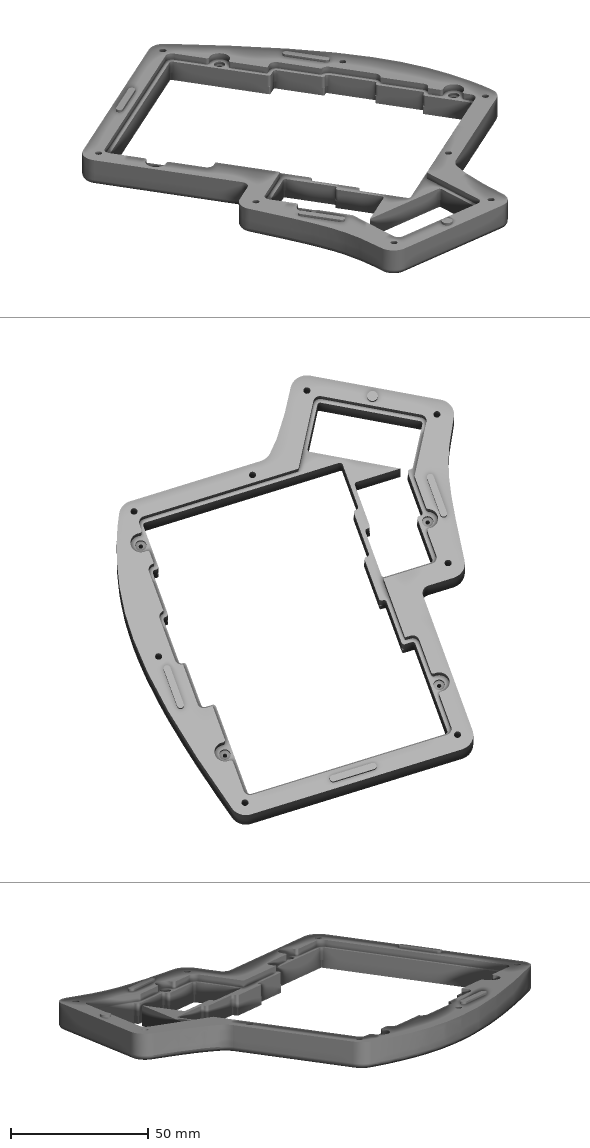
import cadquery as cq
import math

body_height = 10.2
stud_height = 1.0
ledge_drop = 2.5
ledge_z = body_height - ledge_drop
bottom_round = 1.9

corner_radius = 6.0
inner_bend_radius = 3.0
right_side_x = 132.2
thumb_side_x = 65.7
tilt = math.radians(30)
thumb_upper_corner = (153.4, 14.2)
thumb_lower_corner = (129.2, -27.9)
thumb_left_corner = (71.8, -12.8)
top_left_corner = (corner_radius, 87.2)
top_right_corner = (right_side_x - corner_radius, 89.3)
waist_center = (right_side_x + corner_radius, 39.2)
top_left_normal = math.radians(105)
top_right_normal = math.radians(62)
waist_normal = math.radians(225)
thumb_left_normal = math.radians(262)
thumb_upper_normal = math.pi / 2 - tilt
thumb_lower_normal = 3 * math.pi / 2 - tilt

ledge_width = 1.5
opening_radius = 1.0
lower_opening_radius = 0.5
lower_opening_height = 3.0
main_left_x = 8.8
main_right_x = 123.4
box_left_x = 75.1
box_right_x = 114.2
box_step_x = 94
box_floor_y = -8.1
box_low_floor_y = -10.7
notch_x = 112.7
main_floor_y = 8.5
web_left_x = 47.4
web_top_y = 13.0

thumb_far = 84.3
thumb_near = 45.3
thumb_start = 103.2
thumb_end = 123.1

seat_radius = 3.8
seat_blend_radius = 1.0
seat_bore_diameter = 4.1
seat_bore_depth = 1.0
screw_diameter = 1.6
screw_depth = 4.8
seats = [
    ((26.6, 88.3), -90), ((115.3, 90.9), -90), ((28.0, 5.5), 90), ((91.0, -11.3), 90),
]

pin_hole_diameter = 2.5
pin_hole_depth = 6.4
drill_half_angle = math.radians(59)
pin_hole_centers = [
    (5.1, 87.9), (70.3, 99.2), (127.9, 89.3), (127.9, 43.7),
    (153.4, 14.2), (129.3, -27.7), (71.9, -12.8), (6.0, 5.7),
]

bar_length = 17.9
bar_width = 2.5
bars = [((56.8, 97.9), 0), ((3.7, 46.7), 90), ((98.4, -17.4), 0)]
stud_diameter = 4.0
stud_center = (143.3, -7.7)


def around(center, angle, radius=corner_radius):
    """Point on a circle."""
    return (center[0] + radius * math.cos(angle), center[1] + radius * math.sin(angle))


def along(angle):
    """Unit direction."""
    return (math.cos(angle), math.sin(angle))


def thumb_point(far, across):
    """Point given in the turned axes of the thumb section."""
    return (
        far * math.sin(tilt) + across * math.cos(tilt),
        far * math.cos(tilt) - across * math.sin(tilt),
    )


def on_thumb_line(far, x):
    """Point at x on the turned line that lies at the given distance along the thumb axis."""
    return (x, (far - x * math.sin(tilt)) / math.cos(tilt))


def prism(points, radius, bottom, top):
    """Upright block over a closed outline with rounded corners; the web's pointed tip stays sharp."""
    block = cq.Workplane("XY").workplane(offset=bottom).polyline(points).close().extrude(top - bottom)
    return block.edges("|Z").filter(lambda edge: not is_web_tip(edge)).fillet(radius)


def is_web_tip(edge):
    return math.dist(edge.Center().toTuple()[:2], web_tip) < 0.02


def cylinder(center, diameter, bottom, top, seam_angle=0):
    plane = cq.Workplane("XY", origin=(*center, bottom)).transformed(rotate=(0, 0, seam_angle))
    return plane.circle(diameter / 2).extrude(top - bottom)


def make_body():
    """Full block inside the outer outline, rounded along its lower edge."""
    quarter = math.pi / 2
    outline = (
        cq.Workplane("XY")
        .moveTo(0, top_left_corner[1])
        .threePointArc(
            around(top_left_corner, (math.pi + top_left_normal) / 2), around(top_left_corner, top_left_normal)
        )
        .spline(
            [(25.5, 98.2), (47.8, 102.7), (80.5, 105.7), (105.2, 103.0), around(top_right_corner, top_right_normal)],
            tangents=[along(top_left_normal - quarter), along(top_right_normal - quarter)],
            includeCurrent=True,
        )
        .threePointArc(around(top_right_corner, top_right_normal / 2), around(top_right_corner, 0))
        .lineTo(right_side_x, waist_center[1])
        .threePointArc(
            around(waist_center, (math.pi + waist_normal) / 2), around(waist_center, waist_normal)
        )
        .spline(
            [(143.5, 27.3), around(thumb_upper_corner, thumb_upper_normal)],
            tangents=[along(waist_normal + quarter), along(-tilt)],
            includeCurrent=True,
        )
        .threePointArc(around(thumb_upper_corner, quarter / 3 - tilt / 2), around(thumb_upper_corner, -tilt))
        .lineTo(*around(thumb_lower_corner, -tilt))
        .threePointArc(around(thumb_lower_corner, -quarter / 2 - tilt), around(thumb_lower_corner, thumb_lower_normal))
        .spline(
            [(108.5, -25.2), (92.5, -21.7), around(thumb_left_corner, thumb_left_normal)],
            tangents=[along(math.pi - tilt), along(thumb_left_normal - quarter)],
            includeCurrent=True,
        )
        .threePointArc(
            around(thumb_left_corner, (math.pi + thumb_left_normal) / 2), around(thumb_left_corner, math.pi)
        )
        .lineTo(thumb_side_x, -inner_bend_radius)
        .threePointArc(
            around((thumb_side_x - inner_bend_radius, -inner_bend_radius), quarter / 2, inner_bend_radius),
            (thumb_side_x - inner_bend_radius, 0),
        )
        .lineTo(corner_radius, 0)
        .threePointArc(around((corner_radius, corner_radius), -3 * quarter / 2), (0, corner_radius))
        .close()
    )
    return outline.extrude(body_height).faces("<Z").edges().fillet(bottom_round)


main_top = [
    (main_left_x, 85.3), (46.9, 85.3), (46.9, 90.2), (66.0, 90.2), (66.0, 92.5),
    (85.5, 92.5), (85.5, 90.2), (104.5, 90.2), (104.5, 87.5), (main_right_x, 87.5),
]
main_opening = main_top + [
    (main_right_x, 10.8), (103.8, 10.8), (103.8, web_top_y), (84.8, web_top_y), (84.8, 15.3),
    (66.5, 15.3), (66.5, web_top_y), (web_left_x, web_top_y),
    (web_left_x, main_floor_y), (main_left_x, main_floor_y),
]
thumb_rim = [
    thumb_point(thumb_far, thumb_end),
    thumb_point(thumb_near, thumb_end),
]
box_floor = [(box_step_x, box_low_floor_y), (box_step_x, box_floor_y), (box_left_x, box_floor_y)]
web_tip = (box_right_x, (box_right_x * math.cos(tilt) - thumb_start) / math.sin(tilt))
thumb_opening = (
    [thumb_point(thumb_far, thumb_start)]
    + thumb_rim
    + [on_thumb_line(thumb_near, notch_x), (notch_x, box_low_floor_y)]
    + box_floor
    + [(box_left_x, 11.5), (95.4, 11.5), (95.4, 9.2), (box_right_x, 9.2), web_tip]
)
low_floor_end_x = (thumb_near - box_low_floor_y * math.cos(tilt)) / math.sin(tilt)
ledge_outline = (
    main_top
    + [on_thumb_line(thumb_far, main_right_x)]
    + thumb_rim
    + [(low_floor_end_x, box_low_floor_y)]
    + box_floor
    + [(box_left_x, web_top_y), (web_left_x, web_top_y)]
    + [(web_left_x, main_floor_y), (main_left_x, main_floor_y)]
)


def make_ledge_recess():
    """Pocket that reaches past the openings by the ledge width."""
    core = prism(ledge_outline, opening_radius, ledge_z, body_height)
    pocket = core.faces("<Z").wires().toPending().offset2D(ledge_width).extrude(ledge_drop)
    for center, inward in seats:
        pocket = pocket.union(cylinder(center, 2 * seat_radius, ledge_z, body_height, inward))
    return pocket.edges("|Z").filter(is_seat_joint).fillet(seat_blend_radius)


def is_seat_joint(edge):
    """True for an upright edge where a seat's round wall meets the rest of the pocket."""
    place = edge.Center().toTuple()[:2]
    return any(abs(math.dist(place, center) - seat_radius) < 0.02 for center, _ in seats)


def drilled_hole(center, diameter, top, depth):
    """Blind hole with a pointed floor."""
    radius = diameter / 2
    floor_z = top - depth
    tip_z = floor_z - radius / math.tan(drill_half_angle)
    profile = [(0, top), (radius, top), (radius, floor_z), (0, tip_z)]
    drill = cq.Workplane("XZ").polyline(profile).close().revolve(360, (0, 0), (0, 1))
    return drill.translate((center[0], center[1], 0))


result = make_body()
result = result.cut(make_ledge_recess())
for opening in (main_opening, thumb_opening):
    result = result.cut(prism(opening, lower_opening_radius, 0, lower_opening_height))
    result = result.cut(prism(opening, opening_radius, lower_opening_height, body_height))

seat_bore_z = ledge_z - seat_bore_depth
for seat, _ in seats:
    result = result.cut(cylinder(seat, seat_bore_diameter, seat_bore_z, ledge_z))
    result = result.cut(drilled_hole(seat, screw_diameter, seat_bore_z, screw_depth))

for hole in pin_hole_centers:
    result = result.cut(drilled_hole(hole, pin_hole_diameter, body_height, pin_hole_depth))

for bar_center, bar_angle in bars:
    bar = cq.Workplane("XY").workplane(offset=body_height).center(*bar_center)
    result = result.union(bar.slot2D(bar_length, bar_width, bar_angle).extrude(stud_height))

result = result.union(cylinder(stud_center, stud_diameter, body_height, body_height + stud_height))